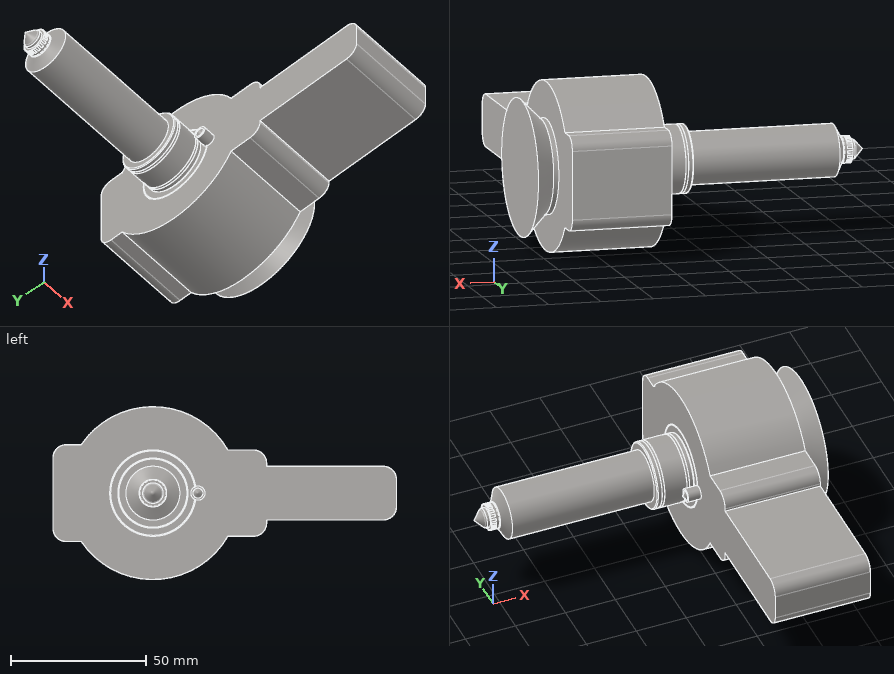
import cadquery as cq


OVERALL_LENGTH = 131.0
HANDLE_FRONT = 82.9
HANDLE_BACK = 121.0

HUB_RADIUS = 32.0
LUG_REACH = 37.0
LUG_HALF_HEIGHT = 18.0
SHOULDER_REACH = 42.0
ARM_REACH = 90.0
ARM_HALF_HEIGHT = 10.0
CORNER_RADIUS = 5.0

BORE_RADIUS = 16.0
BORE_CLEARANCE = 0.4

COLLAR_RADIUS = 13.0
COLLAR_LENGTH = 14.9
COLLAR_CHAMFER = 0.4
COLLAR_GROOVE_INSET = 2.0
COLLAR_GROOVE_WIDTH = 1.0
COLLAR_GROOVE_DEPTH = 0.1

SHAFT_RADIUS = 10.0
SHAFT_FRONT = 8.5
NOSE_LENGTH = 2.8

POINT_LENGTH = 3.1
POINT_RADIUS = 3.4
STEM_RADIUS = 3.8
STEM_CHAMFER_LENGTH = 0.7
HEAD_FRONT = 5.0
HEAD_RADIUS = 5.1
SERRATION_COUNT = 18
SERRATION_WIDTH = 0.9
SERRATION_DEPTH = 0.3
FRONT_SERRATION_LENGTH = 2.0
REAR_SERRATION_LENGTH = 0.4

PIN_OFFSET = 16.6
PIN_RADIUS = 2.6
PIN_RIM = 77.8
PIN_POINT_LENGTH = 1.3
PIN_POINT_RADIUS = 1.8

KNOB_NECK_RADIUS = 18.0
KNOB_RADIUS = 26.0


def turned(profile):
    """Solid of revolution about X from a closed list of (x, radius) points."""
    return cq.Workplane("XY").polyline(profile).close().revolve(360, (0, 0, 0), (1, 0, 0))


def cylinder(start, end, radius):
    """Cylinder on the X axis between two X stations."""
    return cq.Workplane("YZ", origin=(start, 0, 0)).circle(radius).extrude(end - start)


def ring(start, end, outer_radius, inner_radius):
    """Ring on the X axis between two X stations."""
    return cylinder(start, end, outer_radius).cut(cylinder(start, end, inner_radius))


def handle_bar(y_end, half_height):
    """Flat bar from the hub axis out to y_end, with its two outer corners rounded."""
    end_face = ">Y" if y_end > 0 else "<Y"
    return (
        cq.Workplane("YZ", origin=(HANDLE_FRONT, 0, 0))
        .center(y_end / 2, 0)
        .rect(abs(y_end), 2 * half_height)
        .extrude(HANDLE_BACK - HANDLE_FRONT)
        .faces(end_face)
        .edges("|X")
        .fillet(CORNER_RADIUS)
    )


def make_handle():
    hub = cylinder(HANDLE_FRONT, HANDLE_BACK, HUB_RADIUS)
    lug = handle_bar(LUG_REACH, LUG_HALF_HEIGHT)
    shoulder = handle_bar(-SHOULDER_REACH, BORE_RADIUS)
    arm = handle_bar(-ARM_REACH, ARM_HALF_HEIGHT)
    bore = cylinder(HANDLE_FRONT, HANDLE_BACK, BORE_RADIUS)
    return hub.union(lug).union(shoulder).union(arm).cut(bore)


def make_bushing():
    return ring(HANDLE_FRONT, HANDLE_BACK, BORE_RADIUS - BORE_CLEARANCE, SHAFT_RADIUS)


def make_collar():
    front = HANDLE_FRONT - COLLAR_LENGTH
    collar = cylinder(front, HANDLE_FRONT, COLLAR_RADIUS).edges().chamfer(COLLAR_CHAMFER)
    groove_floor = COLLAR_RADIUS - COLLAR_GROOVE_DEPTH
    front_groove = front + COLLAR_GROOVE_INSET
    rear_groove = HANDLE_FRONT - COLLAR_GROOVE_INSET - COLLAR_GROOVE_WIDTH
    for start in (front_groove, rear_groove):
        collar = collar.cut(ring(start, start + COLLAR_GROOVE_WIDTH, COLLAR_RADIUS, groove_floor))
    return collar.cut(cylinder(front, HANDLE_FRONT, SHAFT_RADIUS))


def make_shaft():
    return turned([
        (SHAFT_FRONT, 0),
        (SHAFT_FRONT, HEAD_RADIUS),
        (SHAFT_FRONT + NOSE_LENGTH, SHAFT_RADIUS),
        (HANDLE_BACK, SHAFT_RADIUS),
        (HANDLE_BACK, 0),
    ])


def make_tip():
    tip = turned([
        (0, 0),
        (POINT_LENGTH, POINT_RADIUS),
        (POINT_LENGTH + STEM_CHAMFER_LENGTH, STEM_RADIUS),
        (HEAD_FRONT, STEM_RADIUS),
        (HEAD_FRONT, HEAD_RADIUS),
        (SHAFT_FRONT, HEAD_RADIUS),
        (SHAFT_FRONT, 0),
    ])
    rows = (
        (HEAD_FRONT, FRONT_SERRATION_LENGTH),
        (SHAFT_FRONT - REAR_SERRATION_LENGTH, REAR_SERRATION_LENGTH),
    )
    for start, length in rows:
        slots = (
            cq.Workplane("YZ", origin=(start, 0, 0))
            .polarArray(HEAD_RADIUS, 0, 360, SERRATION_COUNT)
            .rect(2 * SERRATION_DEPTH, SERRATION_WIDTH)
            .extrude(length)
        )
        tip = tip.cut(slots)
    return tip


def make_pin():
    return turned([
        (PIN_RIM - PIN_POINT_LENGTH, 0),
        (PIN_RIM, PIN_POINT_RADIUS),
        (PIN_RIM, PIN_RADIUS),
        (HANDLE_FRONT, PIN_RADIUS),
        (HANDLE_FRONT, 0),
    ]).translate((0, -PIN_OFFSET, 0))


def make_knob():
    flare_length = KNOB_RADIUS - KNOB_NECK_RADIUS
    return turned([
        (HANDLE_BACK, 0),
        (HANDLE_BACK, KNOB_NECK_RADIUS),
        (OVERALL_LENGTH - flare_length, KNOB_NECK_RADIUS),
        (OVERALL_LENGTH, KNOB_RADIUS),
        (OVERALL_LENGTH, 0),
    ])


handle = make_handle()
bushing = make_bushing()
collar = make_collar()
shaft = make_shaft()
tip = make_tip()
pin = make_pin()
knob = make_knob()

result = cq.Compound.makeCompound([
    handle.val(),
    bushing.val(),
    collar.val(),
    shaft.val(),
    tip.val(),
    pin.val(),
    knob.val(),
])